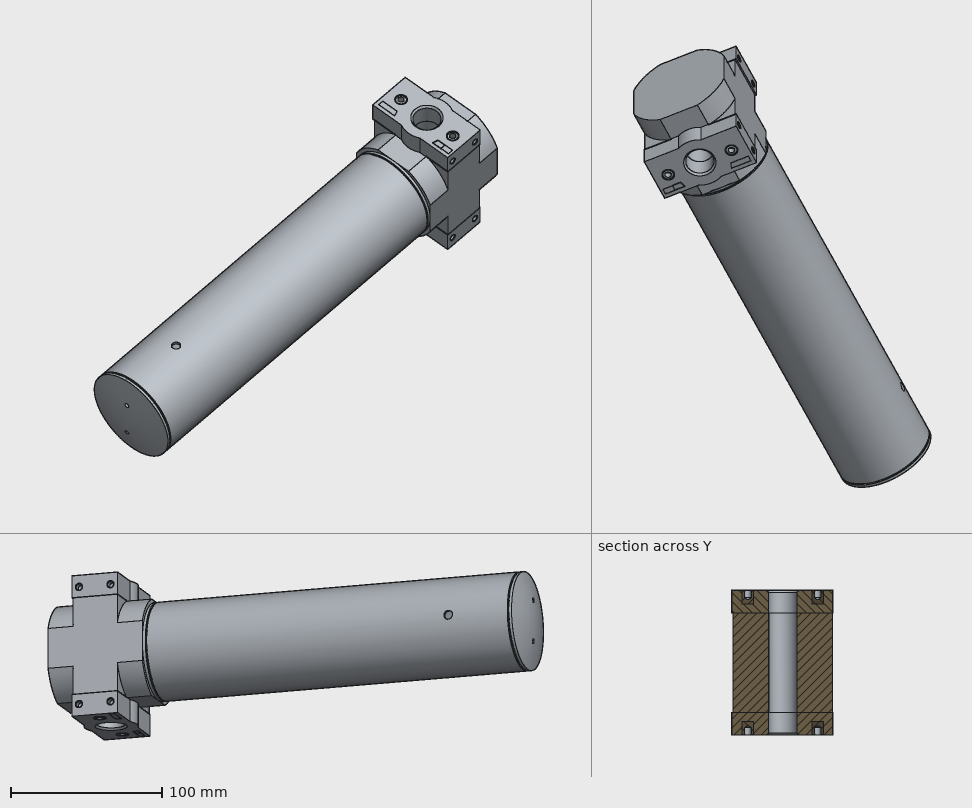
import cadquery as cq
import math


HEAD_FLAT = 33.0
HEAD_CORNER_RADIUS = 35.7
HEAD_BACK = 33.0
HEAD_FRONT = -33.0
BLOCK_HALF_LENGTH = 15.5
PORT_BORE = 18.63
PORT_MOUTH = 21.4

TUBE_DIAMETER = 66.0
TUBE_BORE = 62.0
SPIGOT_DIAMETER = 63.2
SEAT_LENGTH = 6.0
COLLAR_LENGTH = 2.0
GROOVE_WIDTH = 1.0
CAP_BACK = -289.0
CAP_RIM_LENGTH = 2.0
CAP_TIP = -296.0
CAP_HOLE_DIAMETER = 3.0
CAP_HOLE_OFFSET = 14.0
CAP_HOLE_DEPTH = 5.0
VENT_DIAMETER = 6.0
VENT_Y = -246.7

PLATE_LEFT = -33.95
PLATE_RIGHT = 33.15
PLATE_HALF_LENGTH = 16.0
PLATE_BULGE_RADIUS = 18.0
PLATE_HEIGHT = 15.0
SIDE_HOLE_Y = 11.0
SIDE_HOLE_HEIGHT = 7.0

THREAD_MOUTH = 5.0
THREAD_CORE = 4.13
THREAD_DEPTH = 5.0
DRILL_TIP_ANGLE = 118.0

SCREW_X = 23.1
SCREW_DIAMETER = 7.3
SCREW_LENGTH = 9.0
SCREW_HOLE_MOUTH = 8.5

POCKET_DEPTH = 0.2
POCKET_OUTER_X = 31.2
POCKET_INNER_X = 17.0
POCKET_SLANT = 1.3
POCKET_Y_MIN = -13.1
POCKET_Y_MAX = -9.1
POCKET_STEP_X = 24.3
POCKET_STEP_DEPTH = 0.6

tube_radius = TUBE_DIAMETER / 2
collar_front = HEAD_FRONT - COLLAR_LENGTH
tube_back = collar_front - GROOVE_WIDTH
tube_front = CAP_BACK + GROOVE_WIDTH
cap_rim_front = CAP_BACK - CAP_RIM_LENGTH


def y_cylinder(diameter, y_from, y_to):
    """Cylinder on the canister axis between two Y positions."""
    return cq.Workplane("XZ", origin=(0, y_from, 0)).circle(diameter / 2).extrude(y_from - y_to)


def threaded_hole():
    """Cutter on the Z axis, mouth at z = 0 and pointing down."""
    core = THREAD_CORE / 2
    tip = core / math.tan(math.radians(DRILL_TIP_ANGLE / 2))
    outline = [(0, 0), (core, 0), (core, -THREAD_DEPTH), (0, -THREAD_DEPTH - tip)]
    return cq.Workplane("XZ").polyline(outline).close().revolve(360, (0, 0, 0), (0, 1, 0))


def make_head():
    width = 2 * HEAD_FLAT
    barrel = y_cylinder(2 * HEAD_CORNER_RADIUS, HEAD_BACK, HEAD_FRONT)
    barrel = barrel.intersect(cq.Workplane().box(width, HEAD_BACK - HEAD_FRONT, width))
    block = cq.Workplane().box(width, 2 * BLOCK_HALF_LENGTH, width)
    collar = y_cylinder(TUBE_DIAMETER, HEAD_FRONT, collar_front)
    neck = y_cylinder(SPIGOT_DIAMETER, collar_front, tube_back)
    seat = y_cylinder(TUBE_BORE, tube_back, tube_back - SEAT_LENGTH)
    bore = cq.Workplane().circle(PORT_BORE / 2).extrude(HEAD_FLAT, both=True)
    return barrel.union(block).union(collar).union(neck).union(seat).cut(bore)


def make_tube():
    tube = y_cylinder(TUBE_DIAMETER, tube_back, tube_front)
    tube = tube.cut(y_cylinder(TUBE_BORE, tube_back, tube_front))
    vent = cq.Workplane().circle(VENT_DIAMETER / 2).extrude(tube_radius)
    for angle in (0, -90):
        tube = tube.cut(vent.rotate((0, 0, 0), (0, 1, 0), angle).translate((0, VENT_Y, 0)))
    return tube


def make_cap():
    rise = cap_rim_front - CAP_TIP
    dome_radius = (tube_radius**2 + rise**2) / (2 * rise)
    half_angle = math.asin(tube_radius / dome_radius) / 2
    dome_middle = (CAP_TIP + dome_radius * (1 - math.cos(half_angle)), dome_radius * math.sin(half_angle))
    profile = (
        cq.Workplane("YZ")
        .moveTo(CAP_TIP, 0)
        .threePointArc(dome_middle, (cap_rim_front, tube_radius))
        .lineTo(CAP_BACK, tube_radius)
        .lineTo(CAP_BACK, SPIGOT_DIAMETER / 2)
        .lineTo(tube_front, SPIGOT_DIAMETER / 2)
        .lineTo(tube_front, TUBE_BORE / 2)
        .lineTo(tube_front + SEAT_LENGTH, TUBE_BORE / 2)
        .lineTo(tube_front + SEAT_LENGTH, 0)
        .close()
    )
    cap = profile.revolve(360, (0, 0, 0), (1, 0, 0))
    for z in (-CAP_HOLE_OFFSET, CAP_HOLE_OFFSET):
        hole = y_cylinder(CAP_HOLE_DIAMETER, CAP_TIP + CAP_HOLE_DEPTH, CAP_TIP)
        cap = cap.cut(hole.translate((0, 0, z)))
    return cap


def make_plate():
    """Top port plate, seated on the upper flat of the head."""
    face = HEAD_FLAT + PLATE_HEIGHT
    base = cq.Workplane(origin=(0, 0, HEAD_FLAT))
    plate = base.center((PLATE_LEFT + PLATE_RIGHT) / 2, 0)
    plate = plate.rect(PLATE_RIGHT - PLATE_LEFT, 2 * PLATE_HALF_LENGTH).extrude(PLATE_HEIGHT)
    plate = plate.union(base.circle(PLATE_BULGE_RADIUS).extrude(PLATE_HEIGHT))
    plate = plate.faces(">Z").workplane(origin=(0, 0, 0)).hole(PORT_BORE)
    plate = plate.cut(countersink(PORT_MOUTH, PORT_BORE).translate((0, 0, face)))
    for side, edge in ((-1, PLATE_LEFT), (1, PLATE_RIGHT)):
        screw_hole = cq.Workplane().circle(SCREW_DIAMETER / 2).extrude(-SCREW_LENGTH)
        screw_hole = screw_hole.union(countersink(SCREW_HOLE_MOUTH, SCREW_DIAMETER))
        plate = plate.cut(screw_hole.translate((side * SCREW_X, 0, face)))
        for y in (-SIDE_HOLE_Y, SIDE_HOLE_Y):
            side_hole = threaded_hole().union(countersink(THREAD_MOUTH, THREAD_CORE))
            side_hole = side_hole.rotate((0, 0, 0), (0, 1, 0), side * 90)
            plate = plate.cut(side_hole.translate((edge, y, HEAD_FLAT + SIDE_HOLE_HEIGHT)))
    shallow = pocket(POCKET_OUTER_X, POCKET_DEPTH)
    left_pocket = shallow.mirror("YZ").translate((0, 0, face))
    right_pocket = shallow.union(pocket(POCKET_STEP_X, POCKET_STEP_DEPTH)).translate((0, 0, face))
    return plate.cut(left_pocket).cut(right_pocket)


def pocket(outer_x, depth):
    """Pocket cutter on the +X side from its slanted end out to outer_x, with its mouth at z = 0."""
    outline = [
        (POCKET_INNER_X, POCKET_Y_MIN),
        (outer_x, POCKET_Y_MIN),
        (outer_x, POCKET_Y_MAX),
        (POCKET_INNER_X + POCKET_SLANT, POCKET_Y_MAX),
    ]
    return cq.Workplane().polyline(outline).close().extrude(-depth)


def countersink(mouth, bore):
    """45 degree cone cutter with its mouth at z = 0."""
    depth = (mouth - bore) / 2
    return cq.Workplane().circle(mouth / 2).workplane(offset=-depth).circle(bore / 2).loft()


def make_screw(side):
    screw = cq.Workplane().circle(SCREW_DIAMETER / 2).extrude(-SCREW_LENGTH)
    screw = screw.cut(threaded_hole())
    return screw.translate((side * SCREW_X, 0, HEAD_FLAT + PLATE_HEIGHT))


head = make_head()
tube = make_tube()
cap = make_cap()
top_parts = [make_plate(), make_screw(-1), make_screw(1)]
bottom_parts = [part.mirror("XY") for part in top_parts]
plates_and_screws = [part.val() for part in top_parts + bottom_parts]

result = cq.Compound.makeCompound([head.val(), tube.val(), cap.val(), *plates_and_screws])